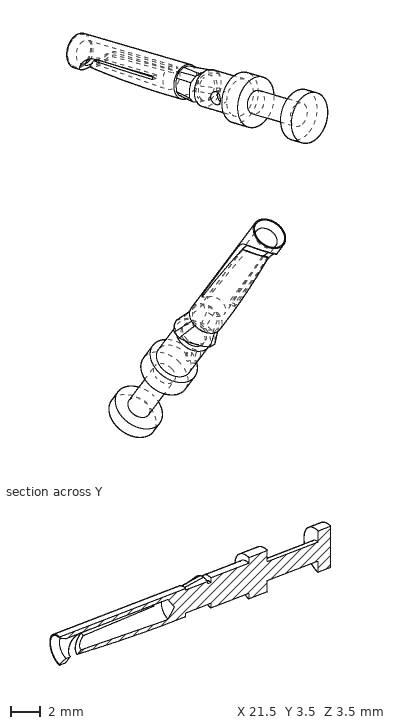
import cadquery as cq
import math

length = 21.5
tongue_root_x = 8.0
barrel_end_x = 10.0
collar_end_x = 11.75
body_start_x = 12.0
flange_start_x = 15.0
flange_end_x = 16.5
head_start_x = 20.5

barrel_diameter = 2.4
neck_diameter = 1.78
body_diameter = 2.58
flange_diameter = 3.5
stem_diameter = 1.63

mouth_radius = 1.12
mouth_chamfer_depth = 0.13
funnel_radius = 1.0
funnel_depth = 0.52
bore_radius = 0.82
bore_depth = 8.6
drill_half_angle = 59.0

slot_top_z = 0.24
tongue_tip_x = 1.42
tongue_tip_radius = 0.85
tongue_middle_radius = 1.1
tongue_tip_bore_radius = 0.55
cut_start_x = 0.5
cut_bend_radius = 1.94

hole_x = 13.98
hole_diameter = 0.9
hole_depth = 0.65

collar_front_half = [
    (0.24, 1.08), (0.7, 0.88), (0.95, 0.47), (0.99, 0.15), (0.95, -0.47), (0.7, -0.77), (0.24, -0.9),
]
collar_back_half = [
    (0.54, 1.08), (0.9, 0.99), (1.38, 0.65), (1.5, 0.22), (1.5, -0.4), (1.15, -0.77), (0.54, -0.9),
]

barrel_radius = barrel_diameter / 2


def rod(start_x, end_x, diameter):
    return cq.Workplane("YZ", origin=(start_x, 0, 0)).circle(diameter / 2).extrude(end_x - start_x)


def revolve_about_x(points):
    return cq.Workplane("XY").polyline(points).close().revolve(360, (0, 0), (1, 0))


def extrude_across(profile):
    return profile.extrude(barrel_diameter, both=True)


def drill_tip_length(radius):
    return radius / math.tan(math.radians(drill_half_angle))


def make_socket_bore():
    return revolve_about_x([
        (0, 0),
        (0, mouth_radius),
        (mouth_chamfer_depth, funnel_radius),
        (funnel_depth, bore_radius),
        (bore_depth, bore_radius),
        (bore_depth + drill_tip_length(bore_radius), 0),
    ])


def make_tongue_opening():
    """45 degree lead cut that curves tangentially into the long slot."""
    rise = cut_bend_radius * (1 - math.cos(math.pi / 4))
    run = cut_bend_radius * math.sin(math.pi / 4)
    bend_z = slot_top_z - rise
    bend_x = cut_start_x + bend_z + barrel_radius
    slot_x = bend_x + run
    mid_angle = math.pi / 8
    arc_middle = (
        slot_x - cut_bend_radius * math.sin(mid_angle),
        slot_top_z - cut_bend_radius * (1 - math.cos(mid_angle)),
    )
    profile = (
        cq.Workplane("XZ")
        .moveTo(cut_start_x, -barrel_radius)
        .lineTo(bend_x, bend_z)
        .threePointArc(arc_middle, (slot_x, slot_top_z))
        .lineTo(tongue_root_x, slot_top_z)
        .lineTo(tongue_root_x, -barrel_radius)
        .close()
    )
    return extrude_across(profile)


def make_tongue():
    """Lower half of a tube that curves inward to a 45 degree tip."""
    tube = (
        cq.Workplane("XY")
        .moveTo(tongue_tip_x, tongue_tip_bore_radius)
        .lineTo(tongue_tip_x, tongue_tip_radius)
        .threePointArc(
            ((tongue_tip_x + tongue_root_x) / 2, tongue_middle_radius),
            (tongue_root_x, barrel_radius),
        )
        .lineTo(tongue_root_x, bore_radius)
        .close()
        .revolve(360, (0, 0), (1, 0))
    )
    envelope = (
        cq.Workplane("XZ")
        .moveTo(tongue_tip_x + tongue_tip_radius, 0)
        .lineTo(tongue_root_x, 0)
        .lineTo(tongue_root_x, -barrel_radius)
        .lineTo(tongue_tip_x + tongue_tip_radius - barrel_radius, -barrel_radius)
        .close()
    )
    return tube.intersect(extrude_across(envelope))


def mirrored_section(half):
    return half + [(-y, z) for y, z in reversed(half)]


def make_collar():
    """Faceted collar that flares sideways but keeps its height."""
    return (
        cq.Workplane("YZ", origin=(barrel_end_x, 0, 0))
        .polyline(mirrored_section(collar_front_half)).close()
        .workplane(offset=collar_end_x - barrel_end_x)
        .polyline(mirrored_section(collar_back_half)).close()
        .loft(ruled=True)
    )


def make_inspection_hole():
    """Blind hole with a conical drill tip."""
    radius = hole_diameter / 2
    surface_y = -body_diameter / 2
    full_depth_y = surface_y + hole_depth
    return (
        cq.Workplane("XY")
        .moveTo(hole_x, surface_y)
        .lineTo(hole_x + radius, surface_y)
        .lineTo(hole_x + radius, full_depth_y)
        .lineTo(hole_x, full_depth_y + drill_tip_length(radius))
        .close()
        .revolve(360, (hole_x, 0), (hole_x, 1))
    )


barrel = rod(0, barrel_end_x, barrel_diameter).cut(make_socket_bore())
barrel = barrel.cut(make_tongue_opening()).union(make_tongue())

result = (
    barrel
    .union(make_collar())
    .union(rod(barrel_end_x, body_start_x, neck_diameter))
    .union(rod(body_start_x, flange_start_x, body_diameter))
    .union(rod(flange_start_x, flange_end_x, flange_diameter))
    .union(rod(flange_end_x, head_start_x, stem_diameter))
    .union(rod(head_start_x, length, flange_diameter))
    .cut(make_inspection_hole())
)